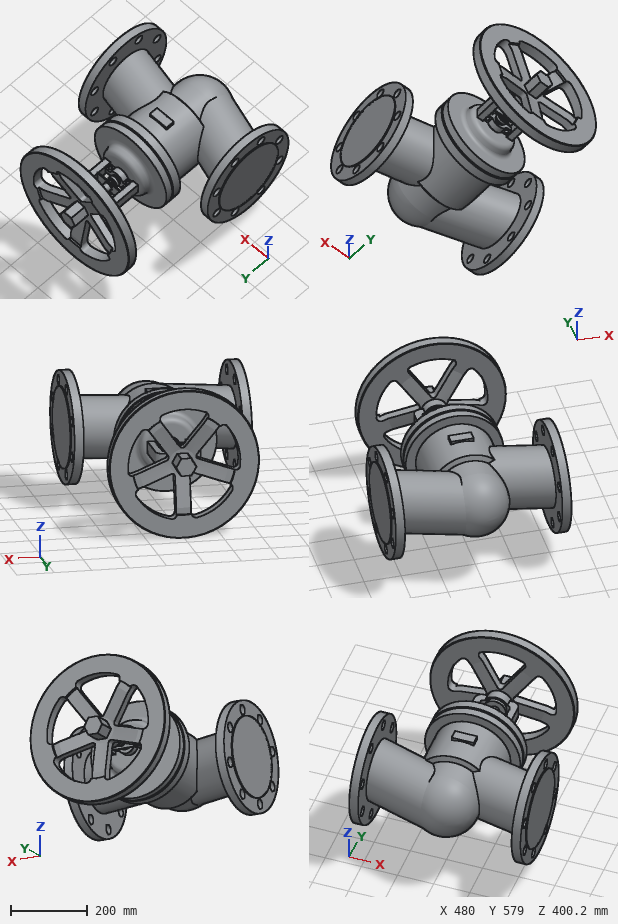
import cadquery as cq
import math


face_to_face = 480.0
flange_radius = 150.0
flange_thickness = 28.0
raised_face_radius = 109.0
raised_face_height = 3.0
bolt_circle_radius = 125.0
bolt_hole_diameter = 26.0
bolt_count = 8

pipe_radius = 83.0
inlet_slope = 17.0
inlet_drop = 65.5
outlet_slope = 12.5
outlet_rise = 47.0
outlet_start = 46.5

bowl_radius = 91.0
bowl_y = bowl_radius - flange_radius
body_radius = 105.5
body_bottom_y = -2.0
body_bevel_height = 6.0
body_top_y = 145.0

plate_length = 61.5
plate_width = 27.0
plate_y = 81.0
plate_top_z = 110.5

cover_radius = 132.0
gasket_radius = 130.0
gasket_bottom_y = 170.0
gasket_top_y = 173.0
cover_top_y = 196.5
bonnet_foot_radius = 90.5
bonnet_waist_radius = 78.0
bonnet_waist_y = 205.0
bonnet_shoulder_radius = 75.0
bonnet_shoulder_y = 217.0
bonnet_top_radius = 60.0
bonnet_top_y = 229.5
bonnet_fillet = 13.0
bonnet_round = 15.0

gland_radius = 25.0
gland_top_y = 248.5
gland_cone_radius = 14.0
gland_cone_top_y = 254.0
gland_collar_radius = 16.0
gland_collar_top_y = 263.0
stem_radius = 12.0
sleeve_radius = 14.0
sleeve_bottom_y = 267.0
sleeve_top_y = 278.0
lug_thickness = 16.0
lug_hole_diameter = 10.5
lug_hole_x = 32.5
indicator_width = 41.5
indicator_thickness = 3.0

yoke_half_span = 60.0
yoke_leg_width = 19.5
yoke_inner_half_span = yoke_half_span - yoke_leg_width
yoke_depth = 32.5
yoke_top_y = 348.5
yoke_outer_bend = 19.5
yoke_inner_bend = 9.0

hub_radius = 35.0
hub_bottom_y = 329.5
hub_rim_radius = 29.5
hub_rim_bottom_y = 319.5

wheel_radius = 200.1
wheel_bottom_y = 374.5
wheel_top_y = 404.0
wheel_edge_chamfer = 2.0
dish_radius = 119.5
dish_depth = 18.0
spoke_thickness = 23.0
dish_floor_y = wheel_bottom_y - dish_depth + spoke_thickness
spoke_count = 5
spoke_half_width = 19.5
window_radius = 150.0
window_outer_fillet = 13.0
window_inner_fillet = 8.0
recess_radius = window_radius - window_outer_fillet

nut_top_y = 429.0
nut_corner_radius = 27.0


def disc(radius, y_start, y_end):
    """Cylinder about the Y axis between two heights."""
    return cq.Workplane("XZ", origin=(0, y_start, 0)).circle(radius).extrude(y_start - y_end)


def pipe_flange(side):
    """Drilled flange with a raised face; side is -1 or +1 along X."""
    face_x = side * face_to_face / 2
    back_x = face_x - side * flange_thickness
    plate_depth = flange_thickness - raised_face_height
    plane = cq.Workplane("YZ", origin=(back_x, 0, 0))
    plate = plane.circle(flange_radius).extrude(side * plate_depth)
    first_angle = 180 / bolt_count
    holes = (
        plane.polarArray(bolt_circle_radius, first_angle, 360, bolt_count)
        .circle(bolt_hole_diameter / 2)
        .extrude(side * plate_depth)
    )
    raised_face = plane.circle(raised_face_radius).extrude(side * flange_thickness)
    return plate.cut(holes).union(raised_face)


def inclined_pipe(side, slope, y_at_middle, start_x):
    """Round bar falling towards +X, trimmed at the back of a flange."""
    tilt = math.radians(slope)
    start = cq.Vector(start_x, y_at_middle - start_x * math.tan(tilt), 0)
    direction = cq.Vector(side * math.cos(tilt), -side * math.sin(tilt), 0)
    bar = cq.Workplane(cq.Plane(start, (0, 0, 1), direction)).circle(pipe_radius).extrude(face_to_face)
    reach = face_to_face / 2 - flange_thickness
    limit = cq.Workplane("XY").box(2 * reach, face_to_face, face_to_face)
    return bar.intersect(limit)


def body():
    """Barrel with a bevelled lower edge, a narrower neck and a round bowl, plus the name plate."""
    barrel = (
        cq.Workplane("XY")
        .moveTo(0, body_top_y)
        .lineTo(body_radius, body_top_y)
        .lineTo(body_radius, body_bottom_y + body_bevel_height)
        .lineTo(bowl_radius, body_bottom_y)
        .lineTo(bowl_radius, bowl_y)
        .radiusArc((0, -flange_radius), bowl_radius)
        .close()
        .revolve(360, (0, 0, 0), (0, 1, 0))
    )
    name_plate = (
        cq.Workplane("XY", origin=(0, plate_y, 0))
        .rect(plate_length, plate_width)
        .extrude(plate_top_z)
    )
    return barrel.union(name_plate)


def bonnet():
    """Two bolted covers with a gasket between them, and the domed bonnet on top."""
    covers = disc(cover_radius, body_top_y, gasket_bottom_y)
    covers = covers.union(disc(gasket_radius, gasket_bottom_y, gasket_top_y))
    covers = covers.union(disc(cover_radius, gasket_top_y, cover_top_y))
    dome = (
        cq.Workplane("XY")
        .moveTo(0, cover_top_y)
        .lineTo(bonnet_foot_radius, cover_top_y)
        .radiusArc((bonnet_waist_radius, bonnet_waist_y), bonnet_fillet)
        .lineTo(bonnet_shoulder_radius, bonnet_shoulder_y)
        .radiusArc((bonnet_top_radius, bonnet_top_y), -bonnet_round)
        .lineTo(0, bonnet_top_y)
        .close()
        .revolve(360, (0, 0, 0), (0, 1, 0))
    )
    return covers.union(dome)


def packing_gland():
    """Stepped gland with a pair of drilled lugs reaching the yoke legs."""
    profile = (
        cq.Workplane("XY")
        .moveTo(0, bonnet_top_y)
        .lineTo(gland_radius, bonnet_top_y)
        .lineTo(gland_radius, gland_top_y)
        .lineTo(gland_cone_radius, gland_top_y)
        .lineTo(gland_collar_radius, gland_cone_top_y)
        .lineTo(gland_collar_radius, gland_collar_top_y)
        .lineTo(0, gland_collar_top_y)
        .close()
    )
    gland = profile.revolve(360, (0, 0, 0), (0, 1, 0))
    lug_y = (bonnet_top_y + gland_top_y) / 2
    lugs = (
        cq.Workplane("XY", origin=(0, lug_y, 0))
        .box(2 * yoke_inner_half_span, gland_top_y - bonnet_top_y, lug_thickness)
        .pushPoints([(-lug_hole_x, 0), (lug_hole_x, 0)])
        .circle(lug_hole_diameter / 2)
        .cutThruAll()
    )
    return gland.union(lugs)


def stem():
    """Stem with a sleeve and a flat indicator plate between the yoke legs."""
    rod = disc(stem_radius, gland_collar_top_y, hub_rim_bottom_y)
    sleeve = disc(sleeve_radius, sleeve_bottom_y, sleeve_top_y)
    indicator = cq.Workplane("XY", origin=(0, sleeve_top_y, 0)).box(
        2 * yoke_inner_half_span, indicator_thickness, indicator_width
    )
    return rod.union(sleeve).union(indicator)


def yoke():
    """Arch standing on the bonnet, with its corners bent round."""
    def arch(half_span, top_y, bend):
        height = top_y - bonnet_top_y
        return (
            cq.Workplane("XY", origin=(0, bonnet_top_y + height / 2, 0))
            .box(2 * half_span, height, yoke_depth)
            .edges("|Z and >Y")
            .fillet(bend)
        )

    outside = arch(yoke_half_span, yoke_top_y, yoke_outer_bend)
    opening = arch(yoke_inner_half_span, yoke_top_y - yoke_leg_width, yoke_inner_bend)
    return outside.cut(opening)


def hub():
    """Stepped hub that carries the handwheel."""
    return disc(hub_radius, hub_bottom_y, wheel_bottom_y).union(
        disc(hub_rim_radius, hub_rim_bottom_y, hub_bottom_y)
    )


def wheel_window():
    """Opening between two spokes, centred on +Z: straight spoke sides and a round outer end."""
    half_angle = math.pi / spoke_count
    apex = spoke_half_width / math.sin(half_angle)
    far = wheel_radius
    wedge = (
        cq.Workplane("XZ", origin=(0, nut_top_y, 0))
        .moveTo(0, apex)
        .lineTo(far * math.tan(half_angle), apex + far)
        .lineTo(-far * math.tan(half_angle), apex + far)
        .close()
        .extrude(nut_top_y - hub_bottom_y)
    )
    sector = wedge.intersect(disc(window_radius, hub_bottom_y, nut_top_y))
    sector = sector.edges("|Y and <Z").fillet(window_inner_fillet)
    outer_corners = cq.selectors.BoxSelector(
        (-far, hub_bottom_y, far / 2), (far, nut_top_y, far)
    )
    return sector.edges("|Y").edges(outer_corners).fillet(window_outer_fillet)


def handwheel():
    """Thick rim with a centre dished towards the hub and windows between the spokes."""
    wheel = (
        cq.Workplane("XY")
        .moveTo(0, wheel_bottom_y - dish_depth)
        .lineTo(hub_radius, wheel_bottom_y - dish_depth)
        .lineTo(dish_radius, wheel_bottom_y)
        .lineTo(wheel_radius, wheel_bottom_y)
        .lineTo(wheel_radius, wheel_top_y)
        .lineTo(recess_radius, wheel_top_y)
        .lineTo(recess_radius, wheel_bottom_y + spoke_thickness)
        .lineTo(dish_radius, wheel_bottom_y + spoke_thickness)
        .lineTo(hub_radius, dish_floor_y)
        .lineTo(0, dish_floor_y)
        .close()
        .revolve(360, (0, 0, 0), (0, 1, 0))
    )
    rim_edges = cq.selectors.RadiusNthSelector(-1)
    wheel = wheel.edges("%CIRCLE").edges(rim_edges).chamfer(wheel_edge_chamfer)
    window = wheel_window()
    for index in range(spoke_count):
        wheel = wheel.cut(window.rotate((0, 0, 0), (0, 1, 0), index * 360 / spoke_count))
    return wheel


def nut():
    """Hexagon nut rising from the dished centre of the handwheel."""
    return (
        cq.Workplane("XZ", origin=(0, dish_floor_y, 0))
        .polygon(6, 2 * nut_corner_radius)
        .extrude(dish_floor_y - nut_top_y)
    )


result = (
    body()
    .union(inclined_pipe(-1, inlet_slope, -inlet_drop, 0))
    .union(inclined_pipe(1, outlet_slope, outlet_rise, outlet_start))
    .union(pipe_flange(-1))
    .union(pipe_flange(1))
    .union(bonnet())
    .union(packing_gland())
    .union(stem())
    .union(yoke())
    .union(hub())
    .union(handwheel())
    .union(nut())
)